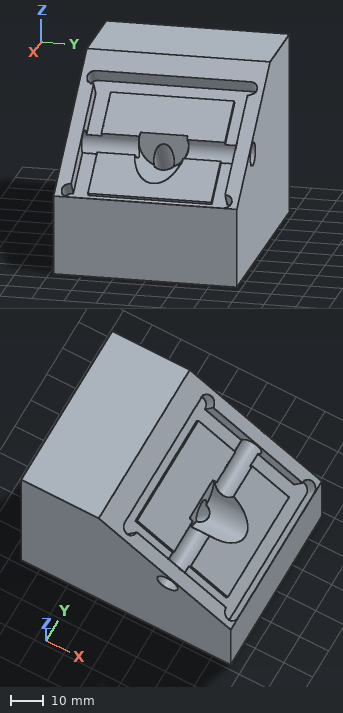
import cadquery as cq
import math

length = 72.8
width = 57.15
height = 57.15
front_height = 25.05
slope_angle = 35.0
slope_run = (height - front_height) / math.tan(math.radians(slope_angle))
slope_start = length - slope_run

pocket_side = 47.9
pocket_depth = 5.0
relief_diameter = 5.0
pad_side = 38.45
pad_height = 1.0
pad_depth = pocket_depth - pad_height
lower_margin = 0.1

cross_diameter = 7.1
cross_x = 50.8
cross_z = 35.45

recess_diameter = 15.6
recess_start = 46.75

through_diameter = 6.3

slope_length = slope_run / math.cos(math.radians(slope_angle))
pocket_center = slope_length - lower_margin - pocket_side / 2

slope_plane = cq.Plane(
    origin=(slope_start, 0, height),
    xDir=(math.cos(math.radians(slope_angle)), 0, -math.sin(math.radians(slope_angle))),
    normal=(math.sin(math.radians(slope_angle)), 0, math.cos(math.radians(slope_angle))),
)


def make_block():
    profile = [(0, 0), (length, 0), (length, front_height), (slope_start, height), (0, height)]
    return cq.Workplane("XZ").polyline(profile).close().extrude(width / 2, both=True)


def on_slope(depth=0.0):
    """Workplane parallel to the slope at the pocket centre, sunk by depth."""
    return cq.Workplane(slope_plane).workplane(offset=-depth).center(pocket_center, 0)


def make_pocket():
    pocket = on_slope().rect(pocket_side, pocket_side).extrude(-pocket_depth)
    relief_spacing = pocket_side - relief_diameter
    reliefs = (
        on_slope()
        .rect(relief_spacing, pocket_side, forConstruction=True)
        .vertices()
        .circle(relief_diameter / 2)
        .extrude(-pocket_depth)
    )
    pad = on_slope(pocket_depth).rect(pad_side, pad_side).extrude(pad_height)
    return pocket.union(reliefs).cut(pad)


def make_cross_hole():
    return (
        cq.Workplane("XZ")
        .center(cross_x, cross_z)
        .circle(cross_diameter / 2)
        .extrude(width, both=True)
    )


def make_recess():
    return (
        cq.Workplane("YZ", origin=(recess_start, 0, cross_z))
        .circle(recess_diameter / 2)
        .extrude(length - recess_start)
    )


def make_through_hole():
    hole_length = 2 * height
    return on_slope().circle(through_diameter / 2).extrude(-hole_length)


result = (
    make_block()
    .cut(make_pocket())
    .cut(make_cross_hole())
    .cut(make_recess())
    .cut(make_through_hole())
)